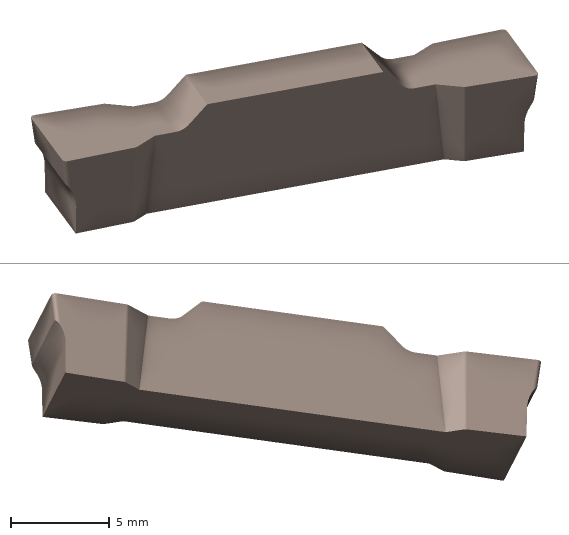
import cadquery as cq

length = 25.8
height = 5.78
head_height = 4.5

bar_width = 3.2
crest_half_length = 4.77
ramp_foot_radius = 1.0

edge_width = 5.03
shoulder_width = 4.75
shoulder_y = 8.9
neck_y = 7.6
side_draft = 3
shoulder_radius = 0.25
corner_radius = 0.23

relief_height = 1.47
relief_setback = 0.18
base_setback = 0.75
base_face_height = 1.63

reach = 0.25

half_length = length / 2
ramp_foot_y = crest_half_length + height - head_height
relief_y = half_length - relief_setback
relief_z = head_height - relief_height
base_y = half_length - base_setback


def side_profile(width):
    """+Y half of the lengthwise outline, extruded symmetrically across X."""
    return (
        cq.Workplane("YZ")
        .lineTo(base_y, 0)
        .lineTo(base_y, base_face_height)
        .tangentArcPoint((relief_y, relief_z), relative=False)
        .lineTo(half_length, head_height)
        .lineTo(ramp_foot_y, head_height)
        .lineTo(crest_half_length, height)
        .lineTo(0, height)
        .close()
        .extrude(width / 2, both=True)
    )


def drafted_head():
    """+Y head with drafted flanks; it runs into the bar and past the finished end."""
    overrun = 1.3
    root_half_width = bar_width / 4
    shoulder_x = shoulder_width / 2
    throat_slope = (shoulder_y - neck_y) / (shoulder_x - bar_width / 2)
    root_y = shoulder_y - throat_slope * (shoulder_x - root_half_width)
    flank_slope = (edge_width / 2 - shoulder_x) / (half_length - shoulder_y)
    outer_y = half_length + overrun
    outer_x = shoulder_x + flank_slope * (outer_y - shoulder_y)
    right_side = [(root_half_width, root_y), (shoulder_x, shoulder_y), (outer_x, outer_y)]
    left_side = [(-x, y) for x, y in reversed(right_side)]
    shoulders = cq.selectors.BoxSelector(
        (-edge_width, shoulder_y - reach, 0), (edge_width, shoulder_y + reach, height)
    )
    return (
        cq.Workplane("XY", origin=(0, 0, head_height))
        .polyline(right_side + left_side)
        .close()
        .extrude(-head_height, taper=side_draft)
        .edges(shoulders)
        .edges("not #Z")
        .fillet(shoulder_radius)
    )


def round_ramp_foot(body):
    """Round the concave edge where the ramp meets the head's top face."""
    foot = cq.selectors.BoxSelector(
        (-bar_width, ramp_foot_y - reach, head_height - reach),
        (bar_width, ramp_foot_y + reach, head_height + reach),
    )
    return body.edges(foot).fillet(ramp_foot_radius)


def round_head_corners(head):
    """Round the edges between the sloped end face and the flanks."""
    corners = cq.selectors.BoxSelector(
        (-edge_width, relief_y, relief_z + reach), (edge_width, half_length, head_height - reach)
    )
    return head.edges(corners).fillet(corner_radius)


bar = round_ramp_foot(side_profile(bar_width))
head = round_head_corners(drafted_head().intersect(side_profile(2 * edge_width)))
half = bar.union(head)
result = half.union(half.mirror("XZ")).clean()